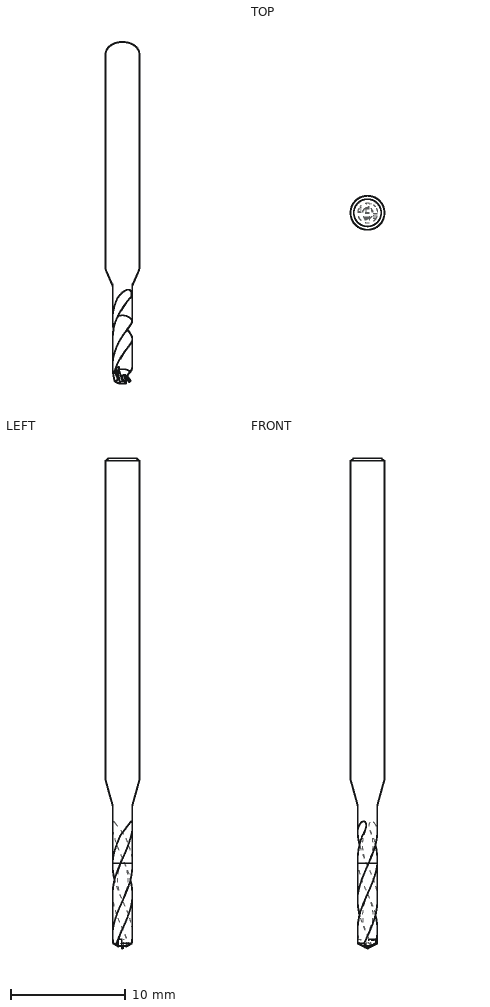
import cadquery as cq
import math


overall_length = 43.0
shank_diameter = 3.0
shank_length = 28.2
shank_chamfer_width = 0.3
shank_chamfer_height = 0.25
drill_diameter = 1.75
point_angle = 125.0
neck_half_angle = 15.5
cutting_length = 7.5

flute_count = 2
flute_pitch = 12.3
flute_length = 9.9
flute_runout_height = 2.0
flute_runout_angle = 40.0
flute_core_radius = 0.45
flute_half_angle = 36.0
flute_level_at_x = 2.95

lip_offset = 0.05
gash_height = 0.8
gash_floor_end = 0.15
gash_floor_angle = 50.0
gash_width = 0.3

shank_radius = shank_diameter / 2
drill_radius = drill_diameter / 2
point_height = drill_radius / math.tan(math.radians(point_angle / 2))
neck_top = overall_length - shank_length
neck_bottom = neck_top - (shank_radius - drill_radius) / math.tan(math.radians(neck_half_angle))

edge_half_width = drill_radius * math.sin(math.radians(flute_half_angle))
edge_depth = drill_radius * math.cos(math.radians(flute_half_angle)) - flute_core_radius
flute_radius = (edge_half_width**2 + edge_depth**2) / (2 * edge_depth)
flute_offset = flute_core_radius + flute_radius

twist_per_mm = 360 / flute_pitch
flute_start_angle = -flute_level_at_x * twist_per_mm
flute_end_angle = flute_start_angle + flute_length * twist_per_mm


def flute_section(angle, level):
    """Circle of one flute in a horizontal plane, placed at an angle about Z."""
    centre_x = flute_offset * math.cos(math.radians(angle))
    centre_y = flute_offset * math.sin(math.radians(angle))
    return cq.Workplane("XY", origin=(0, 0, level)).moveTo(centre_x, centre_y).circle(flute_radius)


def helical_flute():
    """Twisted part of the first flute, from the tip up to the flute length."""
    return flute_section(flute_start_angle, 0).twistExtrude(flute_length, flute_length * twist_per_mm)


def flute_runout():
    """Straight end of the first flute, leaning sideways until it leaves the drill."""
    section = flute_section(flute_end_angle, flute_length).wires().val()
    sideways = flute_runout_height * math.tan(math.radians(flute_runout_angle))
    path = cq.Vector(
        -sideways * math.sin(math.radians(flute_end_angle)),
        sideways * math.cos(math.radians(flute_end_angle)),
        flute_runout_height,
    )
    return cq.Workplane(cq.Solid.extrudeLinear(section, [], path))


def tip_gash():
    """Notch in front of the first cutting lip, with a floor that slopes up and outward from the web."""
    floor_start = gash_floor_end - gash_height / math.tan(math.radians(gash_floor_angle))
    outline = [(floor_start, 0), (gash_floor_end, gash_height), (drill_radius, gash_height), (drill_radius, 0)]
    return cq.Workplane("XZ", origin=(0, -lip_offset, 0)).polyline(outline).close().extrude(gash_width)


def cut_around_axis(body, cutter):
    """Make the same cut once for each flute, evenly spaced about the axis."""
    for index in range(flute_count):
        body = body.cut(cutter.rotate((0, 0, 0), (0, 0, 1), index * 360 / flute_count))
    return body


def cutting_head():
    """Fluted head with a conical point."""
    blank = (
        cq.Workplane("XZ")
        .polyline([(0, 0), (-drill_radius, point_height), (-drill_radius, cutting_length), (0, cutting_length)])
        .close()
        .revolve(360, (0, 0), (0, 1))
    )
    return cut_around_axis(cut_around_axis(blank, helical_flute()), tip_gash())


def shank_body():
    """Chamfered shank and conical neck, with the upper part of the flutes in its thin end."""
    blank = (
        cq.Workplane("YZ")
        .moveTo(0, cutting_length)
        .lineTo(-drill_radius, cutting_length)
        .lineTo(-drill_radius, neck_bottom)
        .lineTo(-shank_radius, neck_top)
        .lineTo(-shank_radius, overall_length - shank_chamfer_height)
        .lineTo(-shank_radius + shank_chamfer_width, overall_length)
        .lineTo(0, overall_length)
        .close()
        .revolve(360, (0, 0), (0, 1))
    )
    return cut_around_axis(cut_around_axis(blank, helical_flute()), flute_runout())


head = cutting_head()
shank = shank_body()

result = cq.Compound.makeCompound([head.val(), shank.val()])